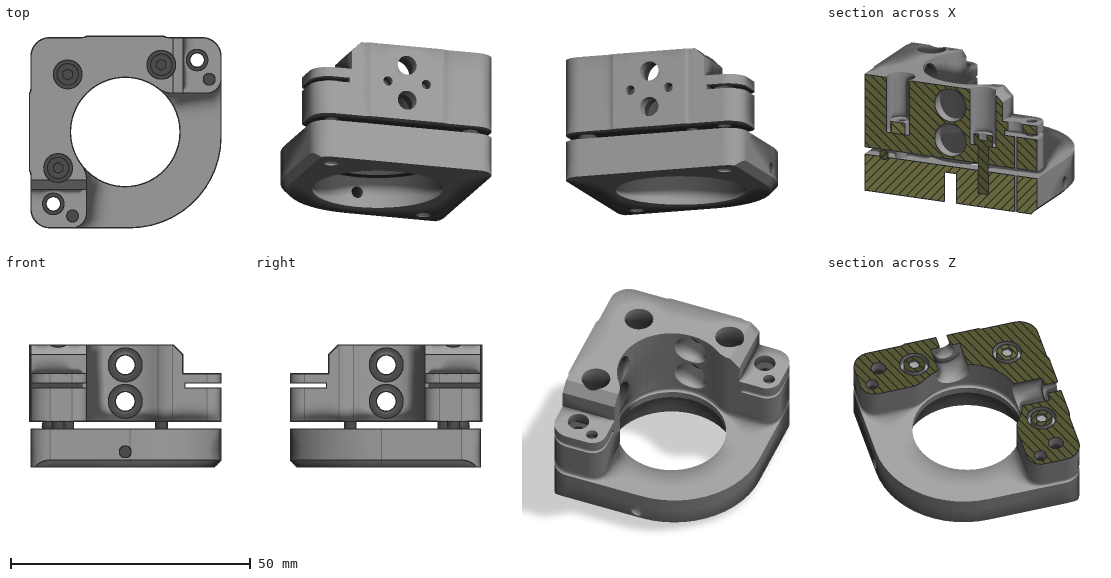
import cadquery as cq
import math


overall = 40
pad_rise = 0.3
half = overall / 2
wall = half - pad_rise
corner_radius = 4
bore_diameter = 22.8

base_thickness = 8
gap = 1.5
upper_height = 16
upper_bottom = base_thickness + gap
upper_top = upper_bottom + upper_height

sweep_radius = 19.0
base_chamfer = 1.5
lens_seat_diameter = 27.2
lip_thickness = 1.5
set_screw_diameter = 2.5
set_screw_height = 3.2

arm_width = 11.6
arm_length = 8
arm_tip_radius = 3.0
arm_step = 6
arm_chamfer = 2
throat_radius = 5.0
slot_length = 7.5
slot_width = 1.0
flange_thickness = 2
arm_inner = wall - arm_width
flange_top = upper_top - arm_step
slot_top = flange_top - flange_thickness

pad_width = 16
pad_blend_radius = 2
pad_blend_run = math.sqrt(pad_blend_radius**2 - (pad_blend_radius - pad_rise) ** 2)
bolt_diameter = 4.1
bolt_head_diameter = 7.1
bolt_spacing = 7.6
bolt_floor_thickness = 3.0
dowel_diameter = 2
dowel_spacing = 8.4
dowel_depth = 3.0
wall_center_height = upper_bottom + upper_height / 2

adjuster_offset = 15.0
adjuster_hole_diameter = 3.0
adjuster_flange_diameter = 4.5
clamp_hole = (17.5, 11.0)
clamp_hole_diameter = 2.5
clamp_hole_depth = 8

screw_offset = 12
arm_screw = (7.5, 14)
screw_diameter = 2.5
screw_head_diameter = 4.5
screw_head_height = 2.5
screw_bore_diameter = 6
screw_floor_thickness = 4
screw_engagement = 5.0
hex_across_flats = 2
hex_depth = 1.2
hex_turn = 30
head_seat = upper_bottom + screw_floor_thickness

ball_diameter = 4.1
ball_offset = 15.3
ball_height = 8.5


def mirrored(point):
    """The point reflected across the diagonal y = -x, the symmetry line of the mount."""
    return (-point[1], -point[0])


def mirror_solid(solid):
    """The solid reflected across the vertical plane y = -x."""
    return solid.mirror("YZ").rotate((0, 0, 0), (0, 0, 1), 90)


def cylinder(diameter, bottom, top, points):
    """Upright cylinders between two heights."""
    return cq.Workplane(origin=(0, 0, bottom)).pushPoints(points).circle(diameter / 2).extrude(top - bottom)


adjuster_point = (adjuster_offset, adjuster_offset)
adjuster_points = [adjuster_point, mirrored(adjuster_point)]
clamp_points = [clamp_hole, mirrored(clamp_hole)]
screw_points = [(-screw_offset, screw_offset), arm_screw, mirrored(arm_screw)]


def make_ball():
    return cq.Workplane(origin=(-ball_offset, ball_offset, ball_height)).sphere(ball_diameter / 2)


def base_blank():
    """Square plate with one swept corner, chamfered below along the sweep and its two sides."""
    sweep_center = half - sweep_radius
    sweep_middle = sweep_center + sweep_radius * math.cos(math.pi / 4)
    plate = (
        cq.Workplane()
        .moveTo(-wall, -half)
        .lineTo(sweep_center, -half)
        .threePointArc((sweep_middle, -sweep_middle), (half, -sweep_center))
        .lineTo(half, wall)
        .lineTo(-wall, wall)
        .close()
        .extrude(base_thickness)
    )
    plate = plate.faces("<Z").edges("not(<X or >Y)").chamfer(base_chamfer)
    return plate.edges("|Z").edges("<X or >Y").fillet(corner_radius)


def make_base():
    body = base_blank()
    body = body.cut(cylinder(bore_diameter, 0, base_thickness, [(0, 0)]))
    body = body.cut(cylinder(lens_seat_diameter, 0, base_thickness - lip_thickness, [(0, 0)]))
    body = body.cut(cylinder(adjuster_hole_diameter, 0, base_thickness, adjuster_points))
    body = body.cut(cylinder(screw_diameter, base_thickness - screw_engagement, base_thickness, screw_points))
    set_screw = (
        cq.Workplane("XZ", origin=(0, 0, set_screw_height)).circle(set_screw_diameter / 2).extrude(half)
    )
    return body.cut(set_screw).cut(make_ball())


def upper_blank():
    """L-shaped block around the bore, with the bore blending into both arms."""
    reach = bore_diameter / 2 + throat_radius
    throat_y = arm_inner + throat_radius
    throat_x = math.sqrt(reach**2 - throat_y**2)
    ratio = bore_diameter / 2 / reach
    tangent = (throat_x * ratio, throat_y * ratio)
    lean = (math.pi / 2 + math.atan2(throat_y, throat_x)) / 2
    blend_middle = (
        throat_x - throat_radius * math.cos(lean),
        throat_y - throat_radius * math.sin(lean),
    )
    bore_middle = (-bore_diameter / 2 * math.cos(math.pi / 4), bore_diameter / 2 * math.sin(math.pi / 4))
    block = (
        cq.Workplane(origin=(0, 0, upper_bottom))
        .moveTo(half, wall)
        .lineTo(half, arm_inner)
        .lineTo(throat_x, arm_inner)
        .threePointArc(blend_middle, tangent)
        .threePointArc(bore_middle, mirrored(tangent))
        .threePointArc(mirrored(blend_middle), (-arm_inner, -throat_x))
        .lineTo(-arm_inner, -half)
        .lineTo(-wall, -half)
        .lineTo(-wall, wall)
        .close()
        .extrude(upper_height)
    )
    block = block.edges("|Z").edges("<X or >Y").fillet(corner_radius)
    return block.edges("|Z").edges(">X or <Y").fillet(arm_tip_radius)


def back_pad():
    """Raised pad on the +Y wall, its ends blended into the wall by concave arcs."""
    edge = pad_width / 2
    blend_center_y = wall + pad_blend_radius
    half_angle = math.asin(pad_blend_run / pad_blend_radius) / 2
    blend_x = edge + pad_blend_run - pad_blend_radius * math.sin(half_angle)
    blend_y = blend_center_y - pad_blend_radius * math.cos(half_angle)
    foot = edge + pad_blend_run
    return (
        cq.Workplane(origin=(0, 0, upper_bottom))
        .moveTo(-foot, wall)
        .threePointArc((-blend_x, blend_y), (-edge, half))
        .lineTo(edge, half)
        .threePointArc((blend_x, blend_y), (foot, wall))
        .lineTo(foot, wall - pad_rise)
        .lineTo(-foot, wall - pad_rise)
        .close()
        .extrude(upper_height)
    )


def arm_cut():
    """Step with a chamfered shoulder at the +X arm, and the clamping slot below its flange."""
    step_x = half - arm_length
    slot_x = half - slot_length
    step = (
        cq.Workplane("XZ", origin=(0, wall, 0))
        .moveTo(half, flange_top)
        .lineTo(step_x, flange_top)
        .lineTo(step_x, upper_top - arm_chamfer)
        .lineTo(step_x - arm_chamfer, upper_top)
        .lineTo(half, upper_top)
        .close()
        .extrude(arm_width)
    )
    slot = (
        cq.Workplane("XZ", origin=(0, wall, 0))
        .moveTo(slot_x, slot_top)
        .lineTo(half, slot_top)
        .lineTo(half, slot_top - slot_width)
        .lineTo(slot_x, slot_top - slot_width)
        .close()
        .extrude(arm_width)
    )
    return step.union(slot)


def back_wall_holes():
    """Counterbored bolt holes opening into the bore, and blind dowel holes, in the +Y wall."""
    back = cq.Workplane("XZ", origin=(0, half, wall_center_height))
    bolts = [(0, -bolt_spacing / 2), (0, bolt_spacing / 2)]
    dowels = [(-dowel_spacing / 2, 0), (dowel_spacing / 2, 0)]
    shanks = back.pushPoints(bolts).circle(bolt_diameter / 2).extrude(half)
    heads = (
        back.workplane(offset=bolt_floor_thickness)
        .pushPoints(bolts)
        .circle(bolt_head_diameter / 2)
        .extrude(half - bolt_floor_thickness)
    )
    pins = back.pushPoints(dowels).circle(dowel_diameter / 2).extrude(dowel_depth)
    return shanks.union(heads).union(pins)


def make_upper():
    body = upper_blank()
    body = body.union(back_pad()).union(mirror_solid(back_pad()))
    for cutter in (arm_cut(), back_wall_holes()):
        body = body.cut(cutter).cut(mirror_solid(cutter))
    body = body.cut(cylinder(adjuster_hole_diameter, upper_bottom, slot_top, adjuster_points))
    body = body.cut(cylinder(adjuster_flange_diameter, slot_top, flange_top, adjuster_points))
    body = body.cut(cylinder(clamp_hole_diameter, flange_top - clamp_hole_depth, flange_top, clamp_points))
    body = body.cut(cylinder(screw_diameter, upper_bottom, head_seat, screw_points))
    body = body.cut(cylinder(screw_bore_diameter, head_seat, upper_top, screw_points))
    return body.cut(make_ball())


def make_screw(point):
    """Cap screw whose head rests on the floor of its bore and whose shank enters the base."""
    head_top = head_seat + screw_head_height
    shank = cylinder(screw_diameter, base_thickness - screw_engagement, head_seat, [point])
    head = cylinder(screw_head_diameter, head_seat, head_top, [point])
    corner_diameter = hex_across_flats / math.cos(math.pi / 6)
    socket = (
        cq.Workplane(origin=(0, 0, head_top - hex_depth))
        .polygon(6, corner_diameter)
        .extrude(hex_depth)
        .rotate((0, 0, 0), (0, 0, 1), hex_turn)
        .translate((point[0], point[1], 0))
    )
    return shank.union(head).cut(socket)


base = make_base()
upper = make_upper()
ball = make_ball()
screws = [make_screw(point).val() for point in screw_points]

result = cq.Compound.makeCompound([base.val(), upper.val(), ball.val(), *screws])